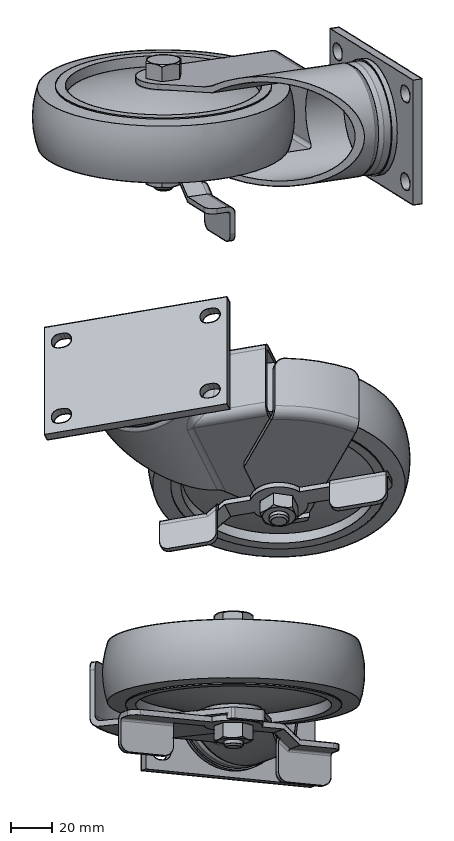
import cadquery as cq
import math


SHEET = 2.78
SWIVEL_X = 44.5

WHEEL_DIA = 127.0
WHEEL_SHOULDER_DIA = 122.2
WHEEL_RING_DIA = 104.8
WHEEL_RECESS_DIA = 95.0
RECESS_FLOOR_DIA = 94.0
HUB_DIA = 27.0
HUB_Z = 17.5
TYRE_HALF_WIDTH = 14.5
TYRE_SIDE_Z = 15.2
RING_Z = 15.9
DOME_RADIUS = 150.8

PLATE_LENGTH = 92.0
PLATE_HEIGHT = 63.5
PLATE_THICKNESS = 5.0
PLATE_TOP_Y = 95.2
COLLAR_DIA = 57.2
COLLAR_HEIGHT = 2.9
SLOT_WIDTH = 8.3
SLOT_LENGTH = 10.2
SLOT_SPACING_X = 75.0
SLOT_SPACING_Z = 44.6

TUBE_DIA = 55.5
TUBE_CUT_Y = 73.0
GROOVE_DROP = 6.2
GROOVE_DEPTH = 1.3
GROOVE_WIDTH = 4.8
ARM_OUTER_Z = 20.6
ARM_END_RADIUS = 13.5
WEB_TOP_Y = 69.8
FORK_BEND_RADIUS = 4.8
FORK_BLEND_RADIUS = 4.8

AXLE_DIA = 9.5
AXLE_END_CHAMFER = 1.0
AXLE_STICK_OUT = 2.9
HEX_FLATS = 16.4
HEX_HEIGHT = 8.3
NUT_HEIGHT = 7.6
HEX_CHAMFER_WIDTH = 1.5
HEX_CHAMFER_HEIGHT = 0.8

SHOE_RADIUS = 71.8
SHOE_TOP_Z = 9.5
SHOE_BEND_RADIUS = 4.8
SHOE_BEND_INNER = 3.0
SHOE_CORNER_RADIUS = 4.8
SHOE_ANGLE = 124.8
SHOE_LEFT = -17.5
SHOE_RIGHT = 24.6
SHOE_MAX_X = 8.7
LIP_END_Y = -17.5
LIP_CORNER_RADIUS = 1.6

PEDAL_REACH = 57.2
PEDAL_TAB_WIDTH = 28.5
PEDAL_TAB_DROP = 18.9
PEDAL_TAB_RADIUS = 4.8
PEDAL_BACK_Y = 10.8
PEDAL_FRONT_Y = -3.7
PEDAL_CORNER_RADIUS = 4.8
PEDAL_BOSS_RADIUS = 14.1
PEDAL_STEP = 7.1
PEDAL_STEP_START_X = 25.4
PEDAL_STEP_END_X = 34.3
PEDAL_THICKNESS = 2.7
PEDAL_BEND_INNER = 1.3

ARM_INNER_Z = ARM_OUTER_Z - SHEET
PLATE_BOTTOM_Y = PLATE_TOP_Y - PLATE_THICKNESS
TUBE_TOP_Y = PLATE_BOTTOM_Y - COLLAR_HEIGHT
TUBE_RADIUS = TUBE_DIA / 2
BORE_DIA = TUBE_DIA - 2 * SHEET
WEB_INNER_Y = WEB_TOP_Y - SHEET
SHOE_BOTTOM_Z = -ARM_OUTER_Z - SHEET
PEDAL_TOP_Z = SHOE_BOTTOM_Z
PEDAL_BOTTOM_Z = PEDAL_TOP_Z - PEDAL_THICKNESS
PEDAL_LOW_TOP_Z = PEDAL_TOP_Z - PEDAL_STEP
PEDAL_TAB_START_X = PEDAL_REACH - PEDAL_TAB_WIDTH
PEDAL_BEND_OUTER = PEDAL_BEND_INNER + PEDAL_THICKNESS
CLEAR = 190.5
MARGIN = 0.2


def swivel_cylinder(diameter, y_low, y_high):
    """Cylinder on the swivel axis between two heights along Y."""
    return (
        cq.Workplane("XZ", origin=(SWIVEL_X, y_high, 0))
        .circle(diameter / 2)
        .extrude(y_high - y_low)
    )


def box(x, y, z):
    """Box from its (low, high) ranges along the three axes."""
    block = cq.Workplane("XY").box(x[1] - x[0], y[1] - y[0], z[1] - z[0], centered=False)
    return block.translate((x[0], y[0], z[0]))


def make_wheel():
    bore = AXLE_DIA / 2
    hub = HUB_DIA / 2
    floor = RECESS_FLOOR_DIA / 2
    recess = WHEEL_RECESS_DIA / 2
    ring = WHEEL_RING_DIA / 2
    shoulder = WHEEL_SHOULDER_DIA / 2
    dome_mid = (hub + floor) / 2
    dome_centre_z = HUB_Z - math.sqrt(DOME_RADIUS**2 - hub**2)
    floor_z = dome_centre_z + math.sqrt(DOME_RADIUS**2 - floor**2)
    dome_mid_z = dome_centre_z + math.sqrt(DOME_RADIUS**2 - dome_mid**2)
    profile = (
        cq.Workplane("XZ")
        .moveTo(bore, -HUB_Z)
        .lineTo(bore, HUB_Z)
        .lineTo(hub, HUB_Z)
        .threePointArc((dome_mid, dome_mid_z), (floor, floor_z))
        .lineTo(recess, RING_Z)
        .lineTo(ring, RING_Z)
        .lineTo(ring, TYRE_SIDE_Z)
        .lineTo(shoulder, TYRE_HALF_WIDTH)
        .threePointArc((WHEEL_DIA / 2, 0), (shoulder, -TYRE_HALF_WIDTH))
        .lineTo(ring, -TYRE_SIDE_Z)
        .lineTo(ring, -RING_Z)
        .lineTo(recess, -RING_Z)
        .lineTo(floor, -floor_z)
        .threePointArc((dome_mid, -dome_mid_z), (hub, -HUB_Z))
        .close()
    )
    return profile.revolve(360, (0, 0, 0), (0, 1, 0))


def make_mounting_plate():
    plate = (
        cq.Workplane("XZ", origin=(SWIVEL_X, PLATE_TOP_Y, 0))
        .rect(PLATE_LENGTH, PLATE_HEIGHT)
        .extrude(PLATE_THICKNESS)
    )
    slots = (
        cq.Workplane("XZ", origin=(SWIVEL_X, PLATE_TOP_Y, 0))
        .rect(SLOT_SPACING_X, SLOT_SPACING_Z, forConstruction=True)
        .vertices()
        .slot2D(SLOT_LENGTH, SLOT_WIDTH)
        .extrude(PLATE_THICKNESS)
    )
    collar = swivel_cylinder(COLLAR_DIA, TUBE_TOP_Y, PLATE_BOTTOM_Y)
    return plate.cut(slots).union(collar)


def fork_side_outline():
    """Fork silhouette: round arm end and the slanted cut tangent to it."""
    front_x = SWIVEL_X + TUBE_RADIUS
    centre_distance = math.hypot(front_x, TUBE_CUT_Y)
    corner_angle = math.atan2(TUBE_CUT_Y, front_x)
    tangent_angle = corner_angle - math.acos(ARM_END_RADIUS / centre_distance)
    tangent = (ARM_END_RADIUS * math.cos(tangent_angle), ARM_END_RADIUS * math.sin(tangent_angle))
    return (
        cq.Workplane("XY", origin=(0, 0, -CLEAR / 2))
        .moveTo(-ARM_END_RADIUS, TUBE_TOP_Y)
        .lineTo(-ARM_END_RADIUS, 0)
        .threePointArc((0, -ARM_END_RADIUS), tangent)
        .lineTo(front_x, TUBE_CUT_Y)
        .lineTo(front_x, TUBE_TOP_Y)
        .close()
        .extrude(CLEAR)
    )


def channel_block(top_y, half_height, bend_radius):
    """Block with two rounded bends along X, reaching in to the swivel axis."""
    block = box((-CLEAR / 2, SWIVEL_X), (-CLEAR / 2, top_y), (-half_height, half_height))
    return block.edges("|X and >Y").fillet(bend_radius)


def groove_ring():
    """Ring cut around the tube: an S-shaped flank falls to the root on either side."""
    half = GROOVE_WIDTH / 2
    surface = SWIVEL_X + TUBE_RADIUS
    root = surface - GROOVE_DEPTH
    middle_y = TUBE_TOP_Y - GROOVE_DROP
    flat = (0, 1)
    return (
        cq.Workplane("XY")
        .moveTo(surface, middle_y - half)
        .spline([(root, middle_y)], tangents=[flat, flat], includeCurrent=True)
        .spline([(surface, middle_y + half)], tangents=[flat, flat], includeCurrent=True)
        .close()
        .revolve(360, (SWIVEL_X, 0, 0), (SWIVEL_X, 1, 0))
    )


def make_fork():
    tube = swivel_cylinder(TUBE_DIA, -CLEAR / 2, TUBE_TOP_Y)
    channel = channel_block(WEB_TOP_Y, ARM_OUTER_Z, FORK_BEND_RADIUS)
    joint_zone = cq.selectors.BoxSelector(
        (SWIVEL_X - TUBE_RADIUS - MARGIN, -CLEAR, -ARM_OUTER_Z - MARGIN),
        (SWIVEL_X - MARGIN, WEB_TOP_Y + MARGIN, ARM_OUTER_Z + MARGIN),
    )
    shell = tube.union(channel).edges(joint_zone).fillet(FORK_BLEND_RADIUS)
    bore = swivel_cylinder(BORE_DIA, -CLEAR / 2, TUBE_TOP_Y)
    inside = channel_block(WEB_INNER_Y, ARM_INNER_Z, FORK_BEND_RADIUS - SHEET)
    shell = shell.cut(bore).cut(inside)
    return shell.intersect(fork_side_outline()).cut(groove_ring())


def make_brake_shoe():
    """Strip under the fork arm, turned up around the tyre and down at the axle."""
    pan = (
        cq.Workplane("XY", origin=(0, 0, SHOE_BOTTOM_Z))
        .circle(SHOE_RADIUS)
        .extrude(SHOE_TOP_Z - SHOE_BOTTOM_Z)
        .edges("<Z")
        .fillet(SHOE_BEND_RADIUS)
    )
    hollow = (
        cq.Workplane("XY", origin=(0, 0, -ARM_OUTER_Z))
        .circle(SHOE_RADIUS - SHEET)
        .extrude(SHOE_TOP_Z + ARM_OUTER_Z)
        .edges("<Z")
        .fillet(SHOE_BEND_INNER)
    )
    strip = (
        box((-CLEAR / 2, CLEAR / 2), (SHOE_LEFT, SHOE_RIGHT), (-CLEAR / 2, SHOE_TOP_Z))
        .edges("|X and >Z")
        .fillet(SHOE_CORNER_RADIUS)
        .mirror("XZ")
        .rotate((0, 0, 0), (0, 0, 1), SHOE_ANGLE)
    )
    axle_end = box((-CLEAR / 2, SHOE_MAX_X), (LIP_END_Y, CLEAR / 2), (-CLEAR / 2, CLEAR / 2))
    plan = strip.intersect(axle_end).edges("|Z and <Y").fillet(LIP_CORNER_RADIUS)
    shoe = pan.cut(hollow).intersect(plan)
    lip = (
        box((-CLEAR / 2, CLEAR / 2), (LIP_END_Y, LIP_END_Y + SHEET), (PEDAL_BOTTOM_Z, SHOE_BOTTOM_Z))
        .intersect(plan)
    )
    return shoe.union(lip)


def pedal_lever():
    """Flat lever sheet, stepped down towards its +X end and narrowed between the tabs."""
    upper_line = [
        (-PEDAL_REACH, PEDAL_TOP_Z),
        (PEDAL_STEP_START_X, PEDAL_TOP_Z),
        (PEDAL_STEP_END_X, PEDAL_LOW_TOP_Z),
        (PEDAL_REACH, PEDAL_LOW_TOP_Z),
    ]
    lower_line = [(x, z - PEDAL_THICKNESS) for x, z in reversed(upper_line)]
    lever = (
        cq.Workplane("XZ", origin=(0, PEDAL_BACK_Y, 0))
        .polyline(upper_line + lower_line)
        .close()
        .extrude(PEDAL_BACK_Y - PEDAL_FRONT_Y)
        .edges("|Z and <Y")
        .fillet(PEDAL_CORNER_RADIUS)
    )
    relief = box(
        (-PEDAL_TAB_START_X, PEDAL_TAB_START_X),
        (PEDAL_BACK_Y - PEDAL_BEND_OUTER, PEDAL_BACK_Y),
        (PEDAL_LOW_TOP_Z - PEDAL_THICKNESS, PEDAL_TOP_Z),
    )
    return lever.cut(relief)


def pedal_tab(top_line):
    """Tab hanging below a line of (x, z) points, with two rounded lower corners."""
    first_x = top_line[0][0]
    last_x, last_z = top_line[-1]
    bottom_z = last_z - PEDAL_TAB_DROP
    return (
        cq.Workplane("XZ", origin=(0, PEDAL_BACK_Y, 0))
        .polyline(top_line + [(last_x, bottom_z), (first_x, bottom_z)])
        .close()
        .extrude(PEDAL_THICKNESS)
        .faces("<Z")
        .edges("|Y")
        .fillet(PEDAL_TAB_RADIUS)
    )


def round_pedal_bends(pedal, y, depth, radius):
    """Round the bend edges that lie at one Y, at a depth below the top of the sheet."""
    zone = cq.selectors.BoxSelector(
        (-CLEAR, y - MARGIN, PEDAL_LOW_TOP_Z - depth - MARGIN),
        (CLEAR, y + MARGIN, PEDAL_TOP_Z - depth + MARGIN),
    )
    return pedal.edges("not |Z").edges(zone).fillet(radius)


def make_pedal():
    """Two-ended foot lever with a folded tab at each end and a round boss at the axle."""
    step_slope = PEDAL_STEP / (PEDAL_STEP_END_X - PEDAL_STEP_START_X)
    slope_z = PEDAL_TOP_Z - step_slope * (PEDAL_TAB_START_X - PEDAL_STEP_START_X)
    tab_top_lines = [
        [(-PEDAL_REACH, PEDAL_TOP_Z), (-PEDAL_TAB_START_X, PEDAL_TOP_Z)],
        [
            (PEDAL_TAB_START_X, slope_z),
            (PEDAL_STEP_END_X, PEDAL_LOW_TOP_Z),
            (PEDAL_REACH, PEDAL_LOW_TOP_Z),
        ],
    ]
    pedal = pedal_lever()
    for top_line in tab_top_lines:
        pedal = pedal.union(pedal_tab(top_line))
    pedal = round_pedal_bends(pedal, PEDAL_BACK_Y, 0, PEDAL_BEND_OUTER)
    inner_y = PEDAL_BACK_Y - PEDAL_THICKNESS
    pedal = round_pedal_bends(pedal, inner_y, PEDAL_THICKNESS, PEDAL_BEND_INNER)
    boss = (
        cq.Workplane("XY", origin=(0, 0, PEDAL_BOTTOM_Z))
        .circle(PEDAL_BOSS_RADIUS)
        .extrude(PEDAL_THICKNESS)
    )
    return pedal.union(boss)


def hex_block(height):
    """Hexagon with corners on the Y axis, chamfered at its +Z end."""
    half_side_angle = 30
    corner_dia = HEX_FLATS / math.cos(math.radians(half_side_angle))
    prism = cq.Workplane("XY").polygon(6, corner_dia).extrude(height)
    prism = prism.rotate((0, 0, 0), (0, 0, 1), half_side_angle)
    turned = (
        cq.Workplane("XY")
        .circle(corner_dia / 2)
        .extrude(height)
        .faces(">Z")
        .chamfer(HEX_CHAMFER_HEIGHT, HEX_CHAMFER_WIDTH)
    )
    return prism.intersect(turned)


def make_axle_bolt():
    tip_z = PEDAL_BOTTOM_Z - NUT_HEIGHT - AXLE_STICK_OUT
    shank = (
        cq.Workplane("XY", origin=(0, 0, tip_z))
        .circle(AXLE_DIA / 2)
        .extrude(ARM_OUTER_Z - tip_z)
        .faces("<Z")
        .chamfer(AXLE_END_CHAMFER)
    )
    head = hex_block(HEX_HEIGHT).translate((0, 0, ARM_OUTER_Z))
    nut = hex_block(NUT_HEIGHT).mirror("XY").translate((0, 0, PEDAL_BOTTOM_Z))
    return shank.union(head).union(nut)


wheel = make_wheel()
mounting_plate = make_mounting_plate()
swivel_fork = (
    make_fork()
    .union(make_brake_shoe())
    .union(make_pedal())
    .union(make_axle_bolt())
)

result = cq.Compound.makeCompound([mounting_plate.val(), swivel_fork.val(), wheel.val()])